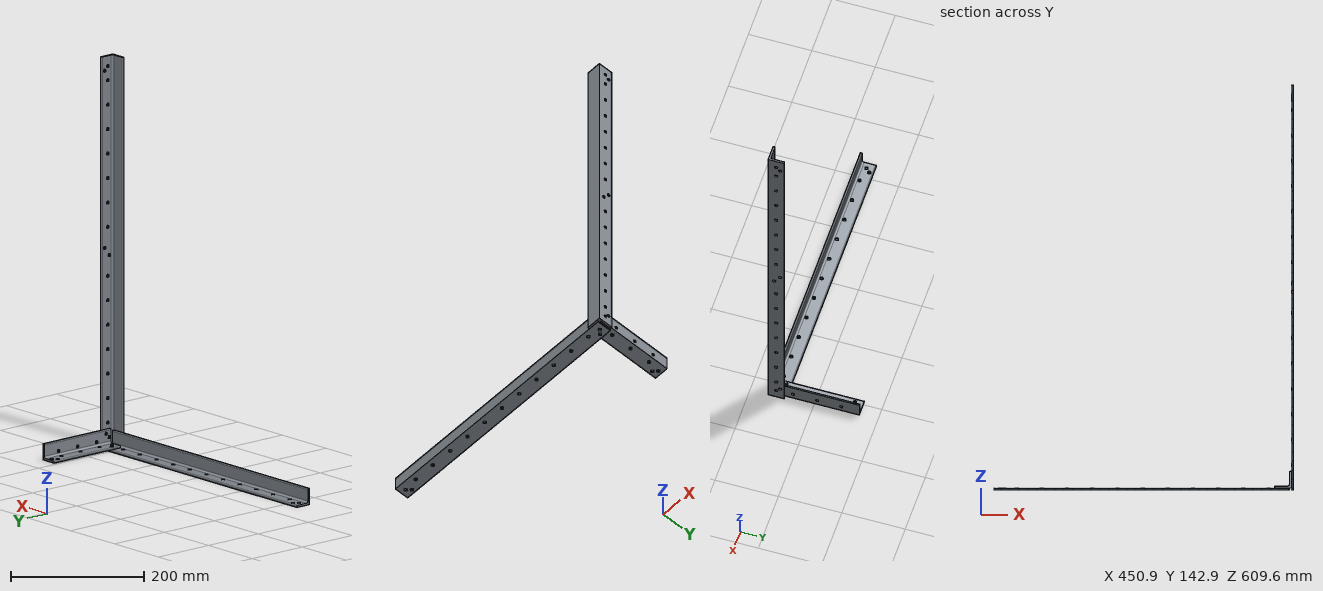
import cadquery as cq

FRAME_X = 450.85
FRAME_Y = 142.875
FRAME_Z = 609.6

LEG = 25.4
THICKNESS = 3.175
ROOT_RADIUS = 3.175
TOE_RADIUS = 1.5875
ROOT_END = THICKNESS + ROOT_RADIUS

FRONT_RAIL_LENGTH = FRAME_X - ROOT_END
SIDE_RAIL_START = THICKNESS + ROOT_END
SIDE_RAIL_LENGTH = FRAME_Y - SIDE_RAIL_START

FLOOR_HOLE_DIAMETER = 5.0
WALL_HOLE_DIAMETER = 4.5
HOLE_PITCH = 38.1
LEG_MIDDLE = LEG / 2
RAIL_ROW_OFFSET = 9.525
PAIR_STEP = 6.35
PAIR_OUTER_OFFSET = LEG_MIDDLE + PAIR_STEP
FRONT_RAIL_PAIR_INSET = 9.525
SIDE_RAIL_PAIR_INSET = 6.35
FRONT_RAIL_ROW_COUNT = 11
FRONT_RAIL_ROW_START = 34.3
FRONT_RAIL_ROW_PITCH = 37.88
SIDE_RAIL_ROW_COUNT = 3
POST_PAIR_INSET = THICKNESS + LEG_MIDDLE


def angle_bar(length):
    """Angle with its outer corner on the Z axis and its legs along +X and +Y."""
    toe_start = THICKNESS - TOE_RADIUS
    profile = (
        cq.Workplane("XY")
        .lineTo(LEG, 0)
        .lineTo(LEG, toe_start)
        .radiusArc((LEG - TOE_RADIUS, THICKNESS), -TOE_RADIUS)
        .lineTo(ROOT_END, THICKNESS)
        .radiusArc((THICKNESS, ROOT_END), ROOT_RADIUS)
        .lineTo(THICKNESS, LEG - TOE_RADIUS)
        .radiusArc((toe_start, LEG), -TOE_RADIUS)
        .lineTo(0, LEG)
        .close()
    )
    return profile.extrude(length)


def drill_leg(bar, points, diameter, leg):
    """Drill the "x" or "y" leg at (distance along the bar, distance from the outer corner)."""
    for along, across in points:
        if leg == "x":
            start = cq.Vector(across, 0, along)
            direction = cq.Vector(0, 1, 0)
        else:
            start = cq.Vector(0, across, along)
            direction = cq.Vector(1, 0, 0)
        bar = bar.cut(cq.Workplane(cq.Solid.makeCylinder(diameter / 2, THICKNESS, start, direction)))
    return bar


def rail_row(first, count, pitch):
    """Evenly spaced row of holes along a rail."""
    return [(first + i * pitch, RAIL_ROW_OFFSET) for i in range(count)]


def end_pairs(length, inset):
    """Diagonal pair near each end, the hole nearer the end on the middle of the leg."""
    pairs = []
    for along, inward in ((inset, 1), (length - inset, -1)):
        pairs.append((along, LEG_MIDDLE))
        pairs.append((along + inward * PAIR_STEP, PAIR_OUTER_OFFSET))
    return pairs


def lay(bar, origin, x_leg, along):
    """Move a bar so that its +X leg and its length point along the given directions."""
    plane = cq.Plane(origin=origin, xDir=x_leg, normal=along)
    return cq.Workplane(bar.val().moved(cq.Location(plane)))


def make_post():
    """Upright: plain front leg, drilled side leg."""
    bar = angle_bar(FRAME_Z)
    spaces = round(FRAME_Z / HOLE_PITCH)
    row = [(i * HOLE_PITCH, LEG_MIDDLE) for i in range(1, spaces) if i != spaces // 2]
    middle_pair = [
        (FRAME_Z / 2 + PAIR_STEP, PAIR_OUTER_OFFSET),
        (FRAME_Z / 2 - PAIR_STEP, RAIL_ROW_OFFSET),
    ]
    holes = row + middle_pair + end_pairs(FRAME_Z, POST_PAIR_INSET)
    bar = drill_leg(bar, holes, WALL_HOLE_DIAMETER, "x")
    return lay(bar, (0, 0, 0), (0, 1, 0), (0, 0, 1))


def make_front_rail():
    """Rail along X: plain front leg, drilled floor leg."""
    bar = angle_bar(FRONT_RAIL_LENGTH)
    row = rail_row(FRONT_RAIL_ROW_START, FRONT_RAIL_ROW_COUNT, FRONT_RAIL_ROW_PITCH)
    holes = row + end_pairs(FRONT_RAIL_LENGTH, FRONT_RAIL_PAIR_INSET)
    bar = drill_leg(bar, holes, FLOOR_HOLE_DIAMETER, "x")
    return lay(bar, (-FRAME_X, THICKNESS, 0), (0, 1, 0), (1, 0, 0))


def make_side_rail():
    """Rail along Y: drilled floor leg and drilled upright leg against the post."""
    bar = angle_bar(SIDE_RAIL_LENGTH)
    row_start = (SIDE_RAIL_LENGTH - (SIDE_RAIL_ROW_COUNT - 1) * HOLE_PITCH) / 2
    row = rail_row(row_start, SIDE_RAIL_ROW_COUNT, HOLE_PITCH)
    first_post_hole = LEG_MIDDLE - SIDE_RAIL_START
    post_pair = [
        (first_post_hole, LEG_MIDDLE),
        (first_post_hole + PAIR_STEP, PAIR_OUTER_OFFSET),
    ]
    floor_holes = row + end_pairs(SIDE_RAIL_LENGTH, SIDE_RAIL_PAIR_INSET)
    bar = drill_leg(bar, floor_holes, FLOOR_HOLE_DIAMETER, "x")
    bar = drill_leg(bar, row + post_pair, WALL_HOLE_DIAMETER, "y")
    return lay(bar, (-THICKNESS, SIDE_RAIL_START, THICKNESS), (-1, 0, 0), (0, 1, 0))


post = make_post()
front_rail = make_front_rail()
side_rail = make_side_rail()

result = cq.Compound.makeCompound([post.val(), front_rail.val(), side_rail.val()])